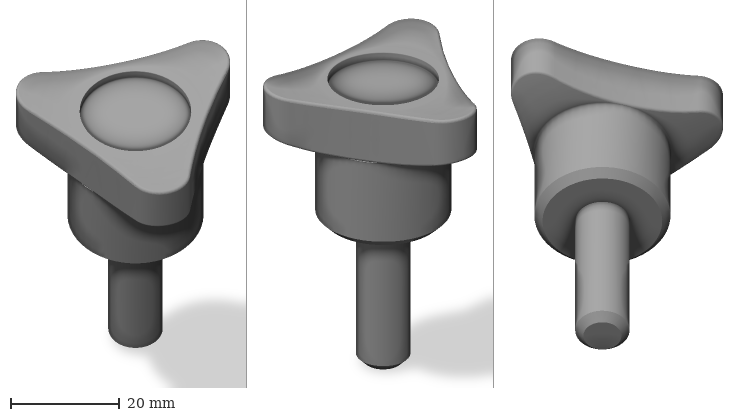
import cadquery as cq
import math

stud_diameter = 10.0
stud_length = 30.0
stud_chamfer = 1.5

hub_diameter = 25.0
hub_chamfer = 1.5
neck_z = 17.75
neck_flare = 0.3

lobe_count = 3
lobe_pitch_radius = 17.0
lobe_radius = 5.5
side_radius = 100.0
head_edge_fillet = 0.5

head_flat_z = 28.77
dish_flat_radius = 10.25
dish_radius = 70.0

underside_z = 17.75
underside_flat_radius = 7.0
underside_radius = 40.0

recess_diameter = 20.5
recess_depth = 1.8
recess_fillet = 0.2

blank_overhang = 2.0
blank_radius = lobe_pitch_radius + lobe_radius + blank_overhang
prism_height = 2 * head_flat_z

quarter_arc_sine = math.sin(math.radians(45.0))


def polar(radius, angle):
    """Plan point at a radius and an angle in degrees."""
    return (radius * math.cos(math.radians(angle)), radius * math.sin(math.radians(angle)))


def turned(profile):
    """Full turn of a half profile about the Z axis."""
    return profile.revolve(360, (0, 0, 0), (0, 1, 0))


def head_prism():
    """Prism with the three-lobed outline, taller than the head."""
    step = 360.0 / lobe_count
    half_step = step / 2
    half_span = lobe_pitch_radius * math.sin(math.radians(half_step))
    lobe_inset = lobe_pitch_radius * math.cos(math.radians(half_step))
    centre_gap = side_radius + lobe_radius
    side_centre_distance = lobe_inset + math.sqrt(centre_gap**2 - half_span**2)
    side_mid_distance = side_centre_distance - side_radius
    tangent_share = lobe_radius / centre_gap

    def tangent_point(lobe_angle, side_angle):
        """Point where a lobe arc meets the side arc beside it."""
        lobe = polar(lobe_pitch_radius, lobe_angle)
        side = polar(side_centre_distance, side_angle)
        return tuple(a + (b - a) * tangent_share for a, b in zip(lobe, side))

    first_lobe = 90.0
    outline = cq.Workplane("XY").moveTo(*tangent_point(first_lobe, first_lobe - half_step))
    for index in range(lobe_count):
        lobe_angle = first_lobe + index * step
        side_angle = lobe_angle + half_step
        lobe_tip = polar(lobe_pitch_radius + lobe_radius, lobe_angle)
        outline = outline.threePointArc(lobe_tip, tangent_point(lobe_angle, side_angle))
        side_mid = polar(side_mid_distance, side_angle)
        outline = outline.threePointArc(side_mid, tangent_point(lobe_angle + step, side_angle))
    return outline.close().extrude(prism_height)


def arc_rise(radius, offset):
    """Height of a circular arc above its tangent point, at a sideways offset from it."""
    return radius - math.sqrt(radius**2 - offset**2)


def head_blank():
    """Turned blank between the bowl-shaped underside and the dished upper face."""
    dish_run = blank_radius - dish_flat_radius
    bowl_run = blank_radius - underside_flat_radius

    def dish_point(run):
        return (dish_flat_radius + run, head_flat_z + arc_rise(dish_radius, run))

    def bowl_point(run):
        return (underside_flat_radius + run, underside_z + arc_rise(underside_radius, run))

    profile = (
        cq.Workplane("XZ")
        .moveTo(0, underside_z)
        .lineTo(*bowl_point(0))
        .threePointArc(bowl_point(bowl_run / 2), bowl_point(bowl_run))
        .lineTo(*dish_point(dish_run))
        .threePointArc(dish_point(dish_run / 2), dish_point(0))
        .lineTo(0, head_flat_z)
        .close()
    )
    return turned(profile)


def head():
    """Lobed head with its upper and lower rims rounded, which are the only spline edges."""
    body = head_prism().intersect(head_blank())
    return body.edges("%BSPLINE").fillet(head_edge_fillet)


def hub_and_stud():
    """Turned hub and stud, with the hub flaring out where it meets the head."""
    hub_radius = hub_diameter / 2
    stud_radius = stud_diameter / 2
    flare_top = neck_z + neck_flare
    flare_mid = (hub_radius + neck_flare * (1 - quarter_arc_sine), neck_z + neck_flare * quarter_arc_sine)
    profile = (
        cq.Workplane("XZ")
        .moveTo(0, -stud_length)
        .lineTo(stud_radius - stud_chamfer, -stud_length)
        .lineTo(stud_radius, stud_chamfer - stud_length)
        .lineTo(stud_radius, 0)
        .lineTo(hub_radius - hub_chamfer, 0)
        .lineTo(hub_radius, hub_chamfer)
        .lineTo(hub_radius, neck_z)
        .threePointArc(flare_mid, (hub_radius + neck_flare, flare_top))
        .lineTo(0, flare_top)
        .close()
    )
    return turned(profile)


def recess():
    """Cutter for the round recess: rounded floor edge and a rounded-over rim."""
    wall = recess_diameter / 2
    floor_z = head_flat_z - recess_depth
    inset = recess_fillet * (1 - quarter_arc_sine)
    profile = (
        cq.Workplane("XZ")
        .moveTo(0, floor_z)
        .lineTo(wall - recess_fillet, floor_z)
        .threePointArc((wall - inset, floor_z + inset), (wall, floor_z + recess_fillet))
        .lineTo(wall, head_flat_z - recess_fillet)
        .threePointArc((wall + inset, head_flat_z - inset), (wall + recess_fillet, head_flat_z))
        .lineTo(0, head_flat_z)
        .close()
    )
    return turned(profile)


result = head().union(hub_and_stud()).cut(recess())